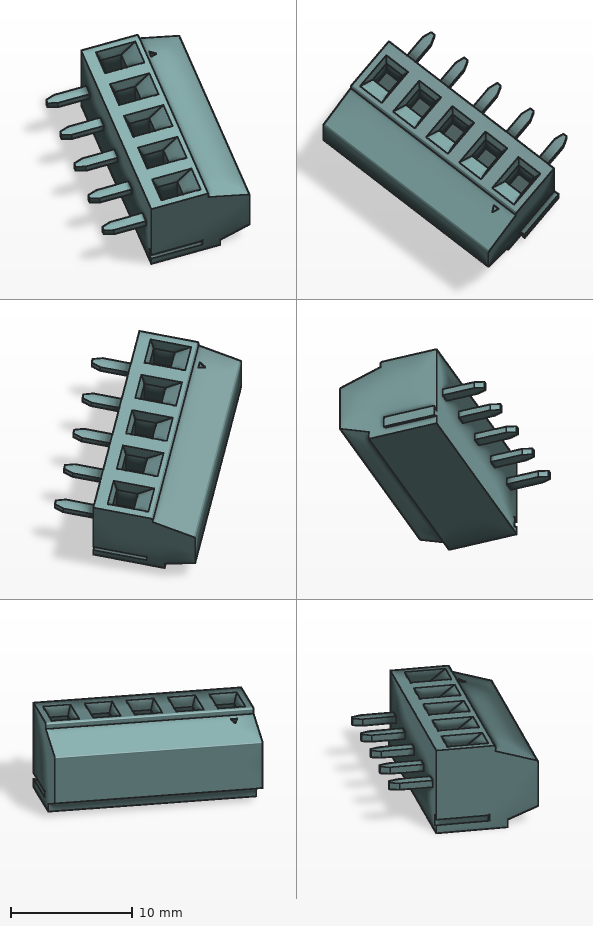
import cadquery as cq
import math


overall_length = 18
pole_count = 5
housing_length = 17.5
housing_depth = 8.6
housing_height = 7.4
pitch = housing_length / pole_count

top_depth = 5.0
top_step = 0.5
base_depth = 6.03
base_step = 0.68
back_top = 5.7
back_bottom = 1.67
edge_radius = 0.2

entry_width = 2.3
entry_length = 3.44
entry_front = 1.08
shaft_width = 1.73
shaft_length = 1.78
shaft_front = 1.4
funnel_depth = 0.86

pin_length = 3.6
pin_width = 0.9
pin_thickness = 0.6
pin_height = 3.9
tip_length = 0.8
tip_width = 0.36

shaft_floor = pin_height + pin_thickness / 2

dovetail_depth = overall_length - housing_length
dovetail_length = 4.5
dovetail_height = 0.97
dovetail_wide = 0.94
dovetail_narrow = 0.5

mark_width = 0.52
mark_length = 0.52
mark_front = 5.44
mark_engraving = 0.09


def make_housing():
    profile = [
        (0, 0),
        (base_depth, 0),
        (base_depth, base_step),
        (housing_depth, back_bottom),
        (housing_depth, back_top),
        (top_depth, housing_height - top_step),
        (top_depth, housing_height),
        (0, housing_height),
    ]
    housing = cq.Workplane("YZ").polyline(profile).close().extrude(housing_length)
    back_edge = cq.selectors.NearestToPointSelector((housing_length / 2, housing_depth, back_top))
    top_edge = cq.selectors.NearestToPointSelector((housing_length / 2, top_depth, housing_height))
    return housing.edges(back_edge).fillet(edge_radius).edges(top_edge).fillet(edge_radius)


def make_entry(x):
    """Funnel and shaft of one wire entry, centred on x."""
    entry_y = entry_front + entry_length / 2
    shaft_y = shaft_front + shaft_length / 2
    funnel = (
        cq.Workplane("XY", origin=(x, entry_y, housing_height))
        .rect(entry_width, entry_length)
        .workplane(offset=-funnel_depth)
        .center(0, shaft_y - entry_y)
        .rect(shaft_width, shaft_length)
        .loft(ruled=True)
    )
    shaft = (
        cq.Workplane("XY", origin=(x, shaft_y, shaft_floor))
        .rect(shaft_width, shaft_length)
        .extrude(housing_height - funnel_depth - shaft_floor)
    )
    return funnel.union(shaft)


def make_pin(x):
    """One flat pin with a tapered tip, centred on x."""
    outline = [
        (-pin_width / 2, 0),
        (-pin_width / 2, tip_length - pin_length),
        (-tip_width / 2, -pin_length),
        (tip_width / 2, -pin_length),
        (pin_width / 2, tip_length - pin_length),
        (pin_width / 2, 0),
    ]
    bottom = pin_height - pin_thickness / 2
    return cq.Workplane("XY", origin=(x, 0, bottom)).polyline(outline).close().extrude(pin_thickness)


def make_dovetail(x):
    """Dovetail bar whose narrow side lies on the plane at x and which widens toward -X."""
    outline = [
        (0, -dovetail_narrow / 2),
        (0, dovetail_narrow / 2),
        (-dovetail_depth, dovetail_wide / 2),
        (-dovetail_depth, -dovetail_wide / 2),
    ]
    base = cq.Workplane("XZ", origin=(x, 0, dovetail_height))
    return base.polyline(outline).close().extrude(-dovetail_length)


def make_mark(x):
    """Triangular prism sunk into the upper slope, pointing to the back."""
    slope_drop = housing_height - top_step - back_top
    slope = math.atan2(slope_drop, housing_depth - top_depth)
    slope_z = housing_height - top_step - (mark_front - top_depth) * math.tan(slope)
    plane = cq.Plane(
        origin=(x, mark_front, slope_z),
        xDir=(1, 0, 0),
        normal=(0, math.sin(slope), math.cos(slope)),
    )
    outline = [
        (-mark_width / 2, 0),
        (mark_width / 2, 0),
        (0, mark_length / math.cos(slope)),
    ]
    return cq.Workplane(plane).polyline(outline).close().extrude(-mark_engraving)


pole_positions = [(pole + 0.5) * pitch for pole in range(pole_count)]

result = make_housing().cut(make_mark(pole_positions[0]))
for pole_x in pole_positions:
    result = result.cut(make_entry(pole_x)).union(make_pin(pole_x))
result = result.union(make_dovetail(0)).cut(make_dovetail(housing_length))